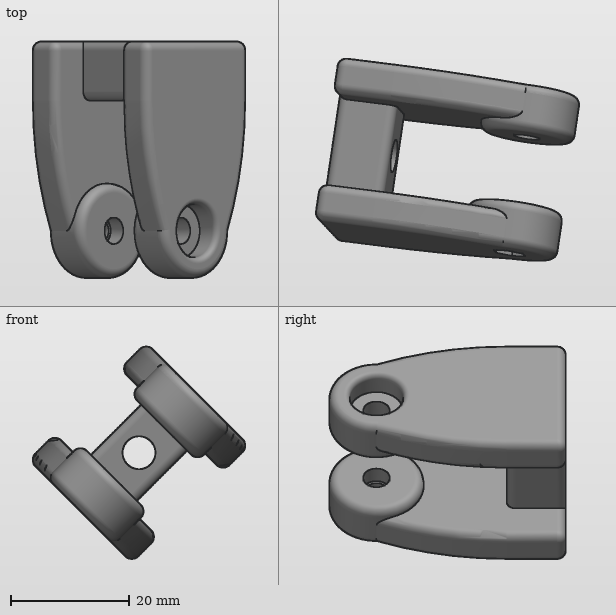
import cadquery as cq
import math

length = 40.0
lug_radius = 8.0
half_span = 14.0
arm_inner = 7.8
lug_inner = 6.0
arm_half_width = 12.3
straight_length = 10.0
edge_fillet = 1.5

bar_width = 11.0
bar_depth = straight_length
bar_hole_diameter = 5.5

pin_diameter = 4.5
pin_socket_depth = 3.0
screw_diameter = 3.5
bore_diameter = 9.0
bore_depth = 4.0
bore_rim_fillet = 1.0
hex_across_flats = 5.0
hex_depth = 3.4
roll_angle = -45.0

rear_y = length / 2
straight_end_y = rear_y - straight_length
pin_y = -length / 2 + lug_radius


def side_arc_middle():
    """Midpoint of the side arc, tangent to the straight stretch and ending beside the pin."""
    run = straight_end_y - pin_y
    drop = arm_half_width - lug_radius
    radius = (run**2 + drop**2) / (2 * drop)
    half_angle = math.asin(run / radius) / 2
    y = straight_end_y - radius * math.sin(half_angle)
    z = arm_half_width - radius * (1 - math.cos(half_angle))
    return y, z


def arm():
    """One arm on the +X side: tapered plate with a thicker round lug at the tip."""
    mid_y, mid_z = side_arc_middle()
    plate = (
        cq.Workplane("YZ", origin=(arm_inner, 0, 0))
        .moveTo(rear_y, -arm_half_width)
        .lineTo(rear_y, arm_half_width)
        .lineTo(straight_end_y, arm_half_width)
        .threePointArc((mid_y, mid_z), (pin_y, lug_radius))
        .lineTo(pin_y, -lug_radius)
        .threePointArc((mid_y, -mid_z), (straight_end_y, -arm_half_width))
        .close()
        .extrude(half_span - arm_inner)
        .faces("<X or >X or >Y")
        .edges("not <Y")
        .fillet(edge_fillet)
    )
    lug = (
        cq.Workplane("YZ", origin=(lug_inner, pin_y, 0))
        .circle(lug_radius)
        .extrude(half_span - lug_inner)
        .edges()
        .fillet(edge_fillet)
    )
    return plate.union(lug)


def crossbar():
    """Bar joining the arms, with its long edges rounded and a hole along Y."""
    bar_length = arm_inner + half_span - edge_fillet
    return (
        cq.Workplane("XY", origin=(0, rear_y - bar_depth / 2, 0))
        .box(bar_length, bar_depth, bar_width)
        .edges("|X")
        .fillet(edge_fillet)
        .faces("<Y")
        .workplane(centerOption="CenterOfBoundBox")
        .hole(bar_hole_diameter)
    )


def pin_hole():
    """Stepped cutter: screw passage through the -X lug, pin diameter from its seat to the +X face."""
    screw_passage = (
        cq.Workplane("YZ", origin=(-half_span, pin_y, 0))
        .circle(screw_diameter / 2)
        .extrude(half_span)
    )
    pin_start = lug_inner + pin_socket_depth
    pin_passage = (
        cq.Workplane("YZ", origin=(-pin_start, pin_y, 0))
        .circle(pin_diameter / 2)
        .extrude(pin_start + half_span)
    )
    return screw_passage.union(pin_passage)


def head_bore():
    """Cutter for the head recess in the +X face, flaring to a rounded rim."""
    radius = bore_diameter / 2
    rim_radius = radius + bore_rim_fillet
    bend = bore_rim_fillet * math.sqrt(0.5)
    return (
        cq.Workplane("XY", origin=(half_span, pin_y, 0))
        .moveTo(0, 0)
        .lineTo(-bore_depth, 0)
        .lineTo(-bore_depth, radius)
        .lineTo(-bore_rim_fillet, radius)
        .threePointArc((bend - bore_rim_fillet, rim_radius - bend), (0, rim_radius))
        .close()
        .revolve(360, (0, 0, 0), (1, 0, 0))
    )


def nut_pocket():
    """Cutter for the hexagonal pocket in the -X face, with two corners towards +Z and -Z."""
    across_corners = hex_across_flats / math.cos(math.pi / 6)
    return (
        cq.Workplane("YZ", origin=(-half_span, pin_y, 0))
        .transformed(rotate=(0, 0, 90))
        .polygon(6, across_corners)
        .extrude(hex_depth)
    )


right_arm = arm()
clevis = right_arm.union(right_arm.mirror("YZ")).union(crossbar())
clevis = clevis.cut(pin_hole()).cut(head_bore()).cut(nut_pocket())
result = clevis.rotate((0, 0, 0), (0, 1, 0), roll_angle)